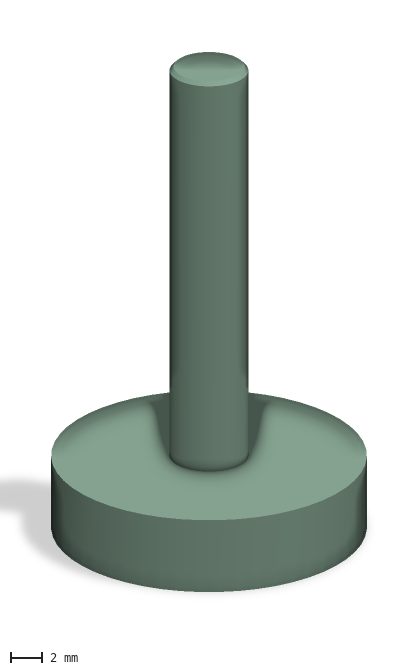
import cadquery as cq

total_height = 32.0
base_diameter = 20.0
base_thickness = 5.0
pin_diameter = 5.0
tip_chamfer = 0.25

pin_length = total_height - base_thickness

base = cq.Workplane("XY").circle(base_diameter / 2).extrude(base_thickness)

pin = (
    cq.Workplane("XY", origin=(0, 0, base_thickness))
    .circle(pin_diameter / 2)
    .extrude(pin_length)
    .faces(">Z")
    .chamfer(tip_chamfer)
)

result = base.union(pin)